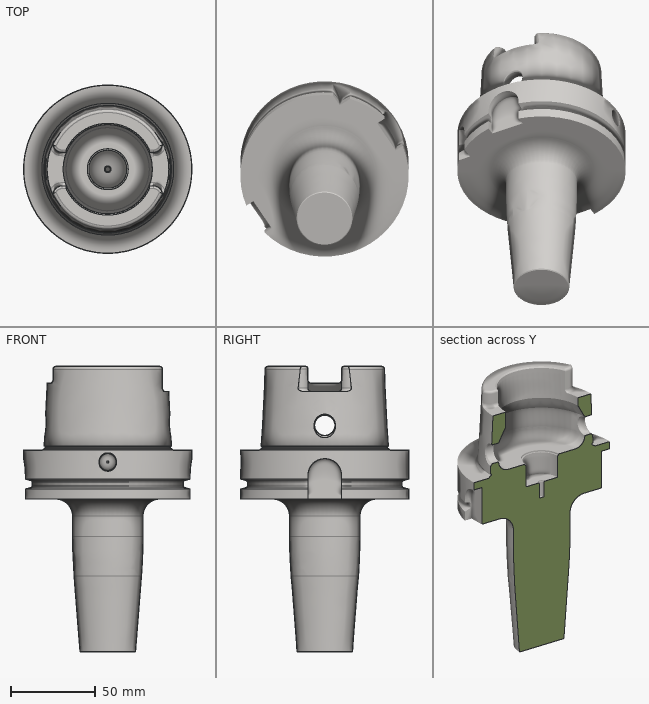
import cadquery as cq
import math


SHANK_HEIGHT = 49.9
GAUGE_RADIUS = 37.5
GAUGE_HEIGHT = 10.0
TAPER_SLOPE = 1 / 20
SHANK_EDGE_FILLET = 1.9

UNDERCUT_TOP = 2.6
UNDERCUT_DEPTH = 0.6
UNDERCUT_LEAD = 0.5
COLLAR_BASE_RADIUS = 39.2
COLLAR_TOP_RADIUS = 38.2
COLLAR_HEIGHT = 0.7

FLANGE_RADIUS = 50.0
FLANGE_THICKNESS = 29.0
GROOVE_CENTRE = -20.1
GROOVE_WIDTH = 6.0
GROOVE_FLOOR_WIDTH = 3.7
GROOVE_FLOOR_FILLET = 1.0
GROOVE_FLOOR_RADIUS = 46.0

NOSE_END = -120.0
NECK_RADIUS = 21.0
NECK_FILLET = 10.0
NECK_LENGTH = 12.2
NOSE_BLEND_RADIUS = 300.0
NOSE_ANGLE = math.radians(4.5)
NOSE_CHAMFER = 0.5

BORE_RADIUS = 26.5
BORE_CHAMFER = 0.8
BORE_STRAIGHT_END = 29.6
CLAMP_CONE_ANGLE = math.radians(30)
BORE_RELIEF_RADIUS = 31.5
BORE_FLOOR = 2.0
BORE_FLOOR_FILLET = 6.8
TUBE_RECESS_RADIUS = 12.2
TUBE_RECESS_DEPTH = 1.0
TUBE_HOLE_RADIUS = 11.3
TUBE_HOLE_DEPTH = 15.0
COOLANT_RECESS_RADIUS = 2.0
COOLANT_RECESS_DEPTH = 0.5
COOLANT_HOLE_RADIUS = 1.5
COOLANT_HOLE_DEPTH = 10.0

DRIVE_SLOT_WIDTH = 20.0
DRIVE_SLOT_DEPTHS = {-1: 10.0, 1: 15.0}
DRIVE_SLOT_INNER_END = 10.0
DRIVE_SLOT_FLARE_START = 27.3
DRIVE_SLOT_FLARE_RADIUS = 5.2
DRIVE_SLOT_FLOOR_FILLET = 2.0
LUG_END_FILLET = 1.5

CROSS_HOLE_RADIUS = 6.0
CROSS_HOLE_HEIGHT = 14.8
CROSS_HOLE_SINK_START = 36.3

KEYWAY_WIDTH = 20.0
KEYWAY_TOP = -5.0
KEYWAY_FLOOR = 44.0
NOTCH_OFFSET = 31.5

CHIP_HOLE_RADIUS = 5.0
CHIP_HOLE_CHAMFER = 0.5
CHIP_HOLE_HEIGHT = -7.0
CHIP_HOLE_DEPTH = 4.6
CHIP_PILOT_RADIUS = 0.6
CHIP_PILOT_DEPTH = 1.0

CLEARANCE = 15.0
SELECTION_MARGIN = 0.1


def shank_radius(height):
    return GAUGE_RADIUS - (height - GAUGE_HEIGHT) * TAPER_SLOPE


def make_body():
    """Revolve the outside outline: nose, neck, grooved flange, undercut and taper."""
    flange_bottom = -FLANGE_THICKNESS
    neck_top = flange_bottom - NECK_FILLET
    neck_bottom = neck_top - NECK_LENGTH
    blend_end_radius = NECK_RADIUS - NOSE_BLEND_RADIUS * (1 - math.cos(NOSE_ANGLE))
    blend_end = neck_bottom - NOSE_BLEND_RADIUS * math.sin(NOSE_ANGLE)
    blend_mid_radius = NECK_RADIUS - NOSE_BLEND_RADIUS * (1 - math.cos(NOSE_ANGLE / 2))
    blend_mid = neck_bottom - NOSE_BLEND_RADIUS * math.sin(NOSE_ANGLE / 2)
    nose_edge = NOSE_END + NOSE_CHAMFER
    nose_edge_radius = blend_end_radius - (blend_end - nose_edge) * math.tan(NOSE_ANGLE)
    fillet_mid = NECK_FILLET * (1 - math.sqrt(0.5))
    groove_half = GROOVE_WIDTH / 2
    floor_half = GROOVE_FLOOR_WIDTH / 2
    undercut_radius = shank_radius(UNDERCUT_TOP) - UNDERCUT_DEPTH

    outline = (
        cq.Workplane("XZ")
        .moveTo(0, NOSE_END)
        .lineTo(nose_edge_radius - NOSE_CHAMFER, NOSE_END)
        .lineTo(nose_edge_radius, nose_edge)
        .lineTo(blend_end_radius, blend_end)
        .threePointArc((blend_mid_radius, blend_mid), (NECK_RADIUS, neck_bottom))
        .lineTo(NECK_RADIUS, neck_top)
        .threePointArc(
            (NECK_RADIUS + fillet_mid, flange_bottom - fillet_mid),
            (NECK_RADIUS + NECK_FILLET, flange_bottom),
        )
        .lineTo(FLANGE_RADIUS, flange_bottom)
        .lineTo(FLANGE_RADIUS, GROOVE_CENTRE - groove_half)
        .lineTo(GROOVE_FLOOR_RADIUS, GROOVE_CENTRE - floor_half)
        .lineTo(GROOVE_FLOOR_RADIUS, GROOVE_CENTRE + floor_half)
        .lineTo(FLANGE_RADIUS, GROOVE_CENTRE + groove_half)
        .lineTo(FLANGE_RADIUS, 0)
        .lineTo(COLLAR_BASE_RADIUS, 0)
        .lineTo(COLLAR_TOP_RADIUS, COLLAR_HEIGHT)
        .lineTo(undercut_radius, UNDERCUT_TOP / 2)
        .lineTo(undercut_radius, UNDERCUT_TOP - UNDERCUT_LEAD)
        .lineTo(shank_radius(UNDERCUT_TOP), UNDERCUT_TOP)
        .lineTo(shank_radius(SHANK_HEIGHT), SHANK_HEIGHT)
        .lineTo(0, SHANK_HEIGHT)
        .close()
    )
    body = outline.revolve(360, (0, 0), (0, 1))
    groove_corners = body.edges("%CIRCLE").filter(
        lambda edge: math.isclose(edge.radius(), GROOVE_FLOOR_RADIUS)
    )
    body = groove_corners.fillet(GROOVE_FLOOR_FILLET)
    return body.faces(">Z").edges().fillet(SHANK_EDGE_FILLET)


def make_bore():
    """Revolve the shank cavity: bore, clamping cone, wide rounded bottom and the stepped centre hole."""
    tube_hole_bottom = BORE_FLOOR - TUBE_HOLE_DEPTH
    coolant_recess_bottom = tube_hole_bottom - COOLANT_RECESS_DEPTH
    coolant_hole_bottom = tube_hole_bottom - COOLANT_HOLE_DEPTH
    clamp_cone_height = (BORE_RELIEF_RADIUS - BORE_RADIUS) / math.tan(CLAMP_CONE_ANGLE)
    floor_corner_radius = BORE_RELIEF_RADIUS - BORE_FLOOR_FILLET
    fillet_mid = BORE_FLOOR_FILLET * math.sqrt(0.5)
    outline = (
        cq.Workplane("XZ")
        .moveTo(0, SHANK_HEIGHT)
        .lineTo(BORE_RADIUS + BORE_CHAMFER, SHANK_HEIGHT)
        .lineTo(BORE_RADIUS, SHANK_HEIGHT - BORE_CHAMFER)
        .lineTo(BORE_RADIUS, BORE_STRAIGHT_END)
        .lineTo(BORE_RELIEF_RADIUS, BORE_STRAIGHT_END - clamp_cone_height)
        .lineTo(BORE_RELIEF_RADIUS, BORE_FLOOR + BORE_FLOOR_FILLET)
        .threePointArc(
            (floor_corner_radius + fillet_mid, BORE_FLOOR + BORE_FLOOR_FILLET - fillet_mid),
            (floor_corner_radius, BORE_FLOOR),
        )
        .lineTo(TUBE_RECESS_RADIUS, BORE_FLOOR)
        .lineTo(TUBE_RECESS_RADIUS, BORE_FLOOR - TUBE_RECESS_DEPTH)
        .lineTo(TUBE_HOLE_RADIUS, BORE_FLOOR - TUBE_RECESS_DEPTH)
        .lineTo(TUBE_HOLE_RADIUS, tube_hole_bottom)
        .lineTo(COOLANT_RECESS_RADIUS, tube_hole_bottom)
        .lineTo(COOLANT_RECESS_RADIUS, coolant_recess_bottom)
        .lineTo(COOLANT_HOLE_RADIUS, coolant_recess_bottom)
        .lineTo(COOLANT_HOLE_RADIUS, coolant_hole_bottom)
        .lineTo(0, coolant_hole_bottom)
        .close()
    )
    return outline.revolve(360, (0, 0), (0, 1))


def make_drive_slot(side):
    """Slot cutter on the +X (1) or -X (-1) side, flaring outwards around the lug ends."""
    half_width = DRIVE_SLOT_WIDTH / 2
    flare_end_x = DRIVE_SLOT_FLARE_START + DRIVE_SLOT_FLARE_RADIUS
    flare_end_y = half_width + DRIVE_SLOT_FLARE_RADIUS
    arc_mid_x = DRIVE_SLOT_FLARE_START + DRIVE_SLOT_FLARE_RADIUS * math.sqrt(0.5)
    arc_mid_y = flare_end_y - DRIVE_SLOT_FLARE_RADIUS * math.sqrt(0.5)
    outer_x = FLANGE_RADIUS
    outer_y = flare_end_y + CLEARANCE
    floor = SHANK_HEIGHT - DRIVE_SLOT_DEPTHS[side]
    cutter = (
        cq.Workplane("XY", origin=(0, 0, floor))
        .moveTo(DRIVE_SLOT_INNER_END, -half_width)
        .lineTo(DRIVE_SLOT_FLARE_START, -half_width)
        .threePointArc((arc_mid_x, -arc_mid_y), (flare_end_x, -flare_end_y))
        .lineTo(flare_end_x, -outer_y)
        .lineTo(outer_x, -outer_y)
        .lineTo(outer_x, outer_y)
        .lineTo(flare_end_x, outer_y)
        .lineTo(flare_end_x, flare_end_y)
        .threePointArc((arc_mid_x, arc_mid_y), (DRIVE_SLOT_FLARE_START, half_width))
        .lineTo(DRIVE_SLOT_INNER_END, half_width)
        .close()
        .extrude(SHANK_HEIGHT - floor)
        .faces("<Z")
        .edges()
        .fillet(DRIVE_SLOT_FLOOR_FILLET)
    )
    cap = (
        cq.Workplane("XY", origin=(0, 0, SHANK_HEIGHT))
        .rect(4 * FLANGE_RADIUS, 4 * FLANGE_RADIUS)
        .extrude(CLEARANCE)
    )
    cutter = cutter.union(cap)
    lug_end_edges = cutter.edges(
        cq.selectors.BoxSelector(
            (0, -outer_y, SHANK_HEIGHT - SELECTION_MARGIN),
            (outer_x - 1, outer_y, SHANK_HEIGHT + SELECTION_MARGIN),
        )
    )
    cutter = lug_end_edges.fillet(LUG_END_FILLET)
    return cutter if side > 0 else cutter.mirror("YZ")


def make_cross_hole(side):
    """Countersunk radial hole through the shank wall on the +X or -X side."""
    sink_depth = shank_radius(0) + 1.0 - CROSS_HOLE_SINK_START
    outline = [
        (BORE_RADIUS, 0),
        (BORE_RADIUS, CROSS_HOLE_RADIUS),
        (CROSS_HOLE_SINK_START, CROSS_HOLE_RADIUS),
        (CROSS_HOLE_SINK_START + sink_depth, CROSS_HOLE_RADIUS + sink_depth),
        (CROSS_HOLE_SINK_START + sink_depth, 0),
    ]
    hole = cq.Workplane("XZ").polyline(outline).close().revolve(360, (0, 0), (1, 0))
    if side < 0:
        hole = hole.mirror("YZ")
    return hole.translate((0, 0, CROSS_HOLE_HEIGHT))


def make_keyway(floor_x, centre_y):
    """Round-topped slot cutter, open at the flange bottom, with its flat floor at floor_x on +X."""
    radius = KEYWAY_WIDTH / 2
    arch_centre = KEYWAY_TOP - radius
    straight_length = FLANGE_THICKNESS + arch_centre
    depth = FLANGE_RADIUS + CLEARANCE - floor_x
    base = cq.Workplane("YZ", origin=(floor_x, 0, 0))
    arch = base.center(centre_y, arch_centre).circle(radius).extrude(depth)
    leg = (
        base.center(centre_y, arch_centre - straight_length / 2)
        .rect(KEYWAY_WIDTH, straight_length)
        .extrude(depth)
    )
    return arch.union(leg)


def make_corner_notch():
    """Keyway-shaped cut in the -X +Y part of the rim, ending in two square walls."""
    return make_keyway(NOTCH_OFFSET, NOTCH_OFFSET + KEYWAY_WIDTH / 2).mirror("YZ")


def make_chip_hole():
    """Chamfered blind hole from the -Y side with a small pilot in its floor."""
    rim = FLANGE_RADIUS
    floor = rim - CHIP_HOLE_DEPTH
    pilot_floor = floor - CHIP_PILOT_DEPTH
    outline = [
        (0, -pilot_floor),
        (CHIP_PILOT_RADIUS, -pilot_floor),
        (CHIP_PILOT_RADIUS, -floor),
        (CHIP_HOLE_RADIUS, -floor),
        (CHIP_HOLE_RADIUS, -rim + CHIP_HOLE_CHAMFER),
        (CHIP_HOLE_RADIUS + CHIP_HOLE_CHAMFER, -rim),
        (0, -rim),
    ]
    hole = cq.Workplane("XY").polyline(outline).close().revolve(360, (0, 0), (0, 1))
    return hole.translate((0, 0, CHIP_HOLE_HEIGHT))


body = make_body().cut(make_bore())
for side in (-1, 1):
    body = body.cut(make_drive_slot(side))

keyway = make_keyway(KEYWAY_FLOOR, 0)
body = body.cut(keyway).cut(keyway.mirror("YZ")).cut(make_corner_notch())
for side in (-1, 1):
    body = body.cut(make_cross_hole(side))
result = body.cut(make_chip_hole())